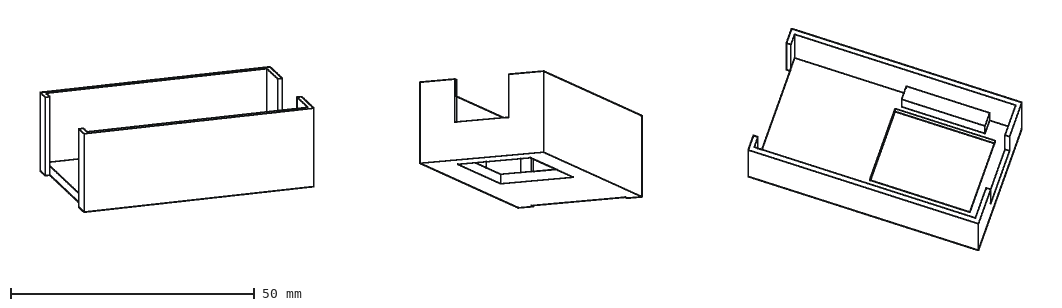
import cadquery as cq

width = 27.8
length = 49.9
height = 17.0
wall = 1.0
floor_thickness = 2.0

lip_width = 3.35

notch_width = 12.1
notch_bottom = 8.0

window_width = 16.3
window_length = 21.7
window_left_offset = 4.8
window_back_offset = 4.15

block_width = 3.0
block_length = 18.05
block_top = 6.8
block_back_offset = 6.65

inner_width = width - 2 * wall
opening_width = width - 2 * lip_width


def box_at(size_x, size_y, size_z, x, y, z):
    """Box whose lowest corner is at (x, y, z)."""
    return cq.Workplane("XY").box(size_x, size_y, size_z, centered=False).translate((x, y, z))


def tray():
    """Box with a cavity, open on top."""
    cavity = box_at(inner_width, length - 2 * wall, height, wall, wall, floor_thickness)
    return box_at(width, length, height, 0, 0, 0).cut(cavity)


def front_opening():
    """Full-height gap between the lips, one wall deep."""
    return box_at(opening_width, wall, height, lip_width, 0, 0)


def back_notch():
    x = (width - notch_width) / 2
    return box_at(notch_width, wall, height - notch_bottom, x, length - wall, notch_bottom)


def floor_window():
    y = length - window_back_offset - window_length
    return box_at(window_width, window_length, floor_thickness, window_left_offset, y, 0)


def support_block(x):
    y = length - block_back_offset - block_length
    block_height = block_top - floor_thickness
    return box_at(block_width, block_length, block_height, x, y, floor_thickness)


result = tray().cut(front_opening()).cut(back_notch()).cut(floor_window())
for block_x in (wall, width - wall - block_width):
    result = result.union(support_block(block_x))